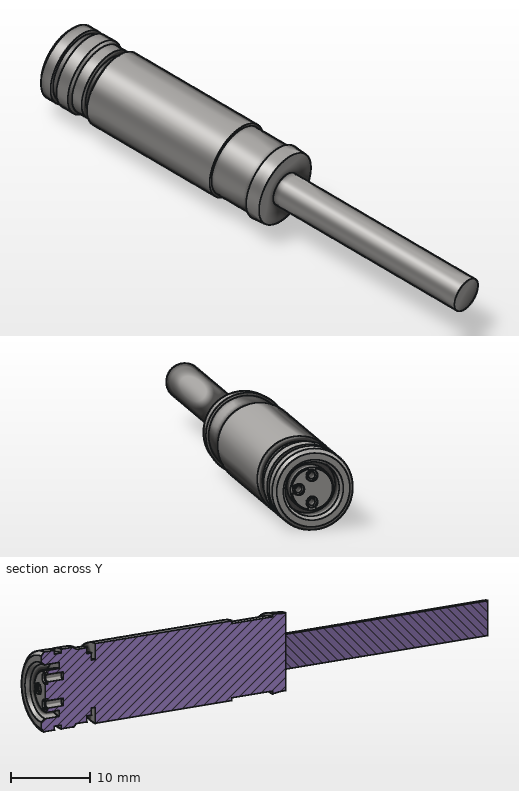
import cadquery as cq

total_length = 66.1
outer_diameter = 10.5
outer_radius = outer_diameter / 2

face_chamfer_length = 0.4
face_radius = 4.75
front_ring_end = 2.0
seal_groove_end = 3.0
seal_groove_radius = 4.75
rear_ring_end = 4.8
ring_taper_end = 5.2
head_radius = 4.9
head_end = 6.8
wide_neck_end = 7.5
wide_neck_radius = 4.1
narrow_neck_radius = 3.2

grip_start = 8.0
grip_end = 28.2
waist_radius = 4.9
collar_start = 34.25
collar_end = 36.2
collar_rear_radius = 5.1

socket_mouth_radius = 3.9
socket_bore_radius = 3.5
socket_cone_length = 0.5
socket_depth = 2.65
insert_radius = 2.8
insert_chamfer = 0.1
insert_recess = 0.6

contact_circle_radius = 1.7
contact_angles = (0, -90, 180)
contact_radius = 0.45
contact_depth = 2.65
counterbore_radius = 0.7
counterbore_depth = 0.3
slot_width = 1.0
slot_depth = 0.2

cable_radius = 2.3


def make_shell():
    """Revolve the stepped outline of the head, grip and collar about X."""
    outline = [
        (0, 0),
        (0, face_radius),
        (face_chamfer_length, outer_radius),
        (front_ring_end, outer_radius),
        (front_ring_end, seal_groove_radius),
        (seal_groove_end, seal_groove_radius),
        (seal_groove_end, outer_radius),
        (rear_ring_end, outer_radius),
        (ring_taper_end, head_radius),
        (head_end, head_radius),
        (head_end, wide_neck_radius),
        (wide_neck_end, wide_neck_radius),
        (wide_neck_end, narrow_neck_radius),
        (grip_start, narrow_neck_radius),
        (grip_start, outer_radius),
        (grip_end, outer_radius),
        (grip_end, waist_radius),
        (collar_start, waist_radius),
        (collar_start, outer_radius),
        (collar_end, collar_rear_radius),
        (collar_end, 0),
    ]
    return cq.Workplane("XY").polyline(outline).close().revolve(360, (0, 0), (1, 0))


def make_socket_cutter():
    """Cone-mouthed socket that leaves the chamfered contact insert in its middle."""
    outline = [
        (0, 0),
        (0, socket_mouth_radius),
        (socket_cone_length, socket_bore_radius),
        (socket_depth, socket_bore_radius),
        (socket_depth, insert_radius),
        (insert_recess + insert_chamfer, insert_radius),
        (insert_recess, insert_radius - insert_chamfer),
        (insert_recess, 0),
    ]
    return cq.Workplane("XY").polyline(outline).close().revolve(360, (0, 0), (1, 0))


def make_contact_cutter(angle):
    """One contact hole with its counterbore and rim slot, turned about X by angle."""
    insert_face = cq.Workplane("YZ", origin=(insert_recess, 0, 0))
    centred = insert_face.center(0, contact_circle_radius)
    hole = centred.circle(contact_radius).extrude(contact_depth)
    counterbore = centred.circle(counterbore_radius).extrude(counterbore_depth)
    slot_length = insert_radius - contact_circle_radius
    slot = (
        insert_face.center(0, contact_circle_radius + slot_length / 2)
        .rect(slot_width, slot_length)
        .extrude(slot_depth)
    )
    return hole.union(counterbore).union(slot).rotate((0, 0, 0), (1, 0, 0), angle)


def make_connector():
    """Shell with the socket and the contact holes cut from its mating face."""
    connector = make_shell().cut(make_socket_cutter())
    for angle in contact_angles:
        connector = connector.cut(make_contact_cutter(angle))
    return connector


def make_cable():
    """Plain round cable that butts against the rear of the collar."""
    rear_face = cq.Workplane("YZ", origin=(collar_end, 0, 0))
    return rear_face.circle(cable_radius).extrude(total_length - collar_end)


connector = make_connector()
cable = make_cable()

result = cq.Compound.makeCompound([connector.val(), cable.val()])